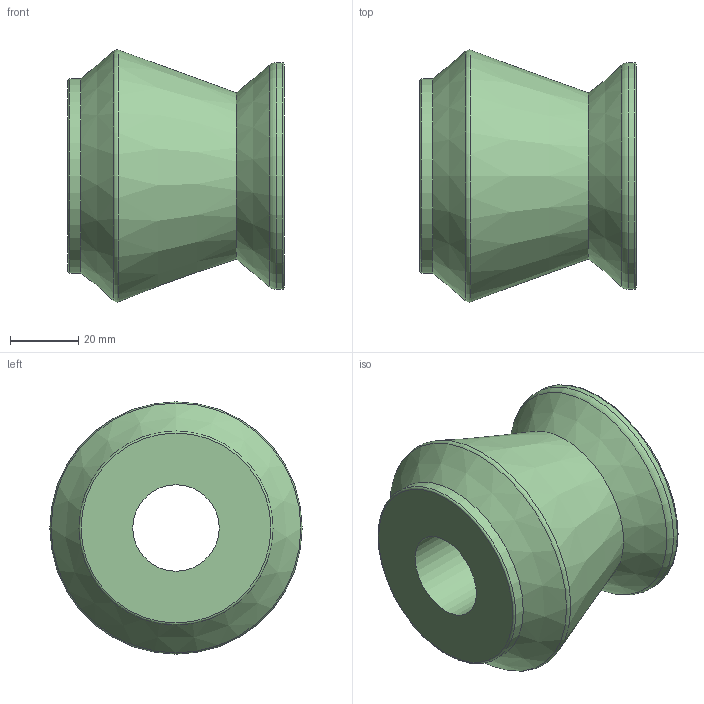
import cadquery as cq
import math

LENGTH = 63.5
BORE_DIAMETER = 25.4
HUB_RADIUS = 28.5
CROWN_RADIUS = 37.06
FLANGE_RADIUS = 33.34

STEEP_ANGLE = math.radians(40)
TAPER_ANGLE = math.radians(20)

CROWN_X = 14.45
NECK_X = 49.5

CROWN_ROUND = 1.5
SHOULDER_ROUND = 3.175
END_ROUND = 0.6


def point_on_arc(center_x, center_r, radius, angle):
    """Point of an arc at an angle from its radially outermost point, positive toward +X."""
    return (center_x + radius * math.sin(angle), center_r + radius * math.cos(angle))


crown_center = (CROWN_X, CROWN_RADIUS - CROWN_ROUND)
crown_start = point_on_arc(*crown_center, CROWN_ROUND, -STEEP_ANGLE)
crown_top = (CROWN_X, CROWN_RADIUS)
crown_end = point_on_arc(*crown_center, CROWN_ROUND, TAPER_ANGLE)

hub_end_x = crown_start[0] - (crown_start[1] - HUB_RADIUS) / math.tan(STEEP_ANGLE)
neck_radius = crown_end[1] - (NECK_X - crown_end[0]) * math.tan(TAPER_ANGLE)

shoulder_center_r = FLANGE_RADIUS - SHOULDER_ROUND
shoulder_start_r = shoulder_center_r + SHOULDER_ROUND * math.cos(STEEP_ANGLE)
shoulder_start_x = NECK_X + (shoulder_start_r - neck_radius) / math.tan(STEEP_ANGLE)
shoulder_end_x = shoulder_start_x + SHOULDER_ROUND * math.sin(STEEP_ANGLE)
shoulder_middle = point_on_arc(shoulder_end_x, shoulder_center_r, SHOULDER_ROUND, -STEEP_ANGLE / 2)


def make_body():
    """Solid roller: half profile in the XZ plane revolved about the X axis."""
    profile = (
        cq.Workplane("XZ")
        .moveTo(0, 0)
        .lineTo(0, HUB_RADIUS)
        .lineTo(hub_end_x, HUB_RADIUS)
        .lineTo(*crown_start)
        .threePointArc(crown_top, crown_end)
        .lineTo(NECK_X, neck_radius)
        .lineTo(shoulder_start_x, shoulder_start_r)
        .threePointArc(shoulder_middle, (shoulder_end_x, FLANGE_RADIUS))
        .lineTo(LENGTH, FLANGE_RADIUS)
        .lineTo(LENGTH, 0)
        .close()
    )
    return profile.revolve(360, (0, 0, 0), (1, 0, 0))


def round_end_edges(body):
    """Round the outer edge of each end face."""
    for end_face in ("<X", ">X"):
        body = body.faces(end_face).edges().fillet(END_ROUND)
    return body


def make_bore():
    """Plain through bore along the axis."""
    return cq.Workplane("YZ").circle(BORE_DIAMETER / 2).extrude(LENGTH)


result = round_end_edges(make_body()).cut(make_bore())